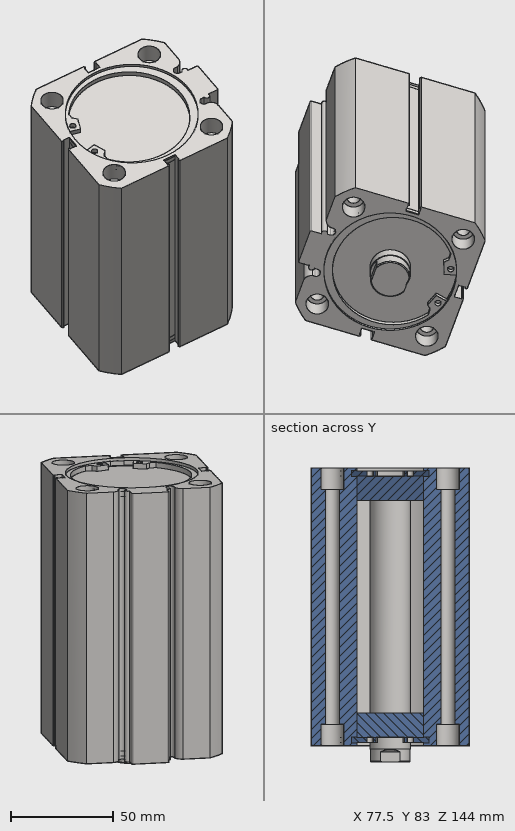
import cadquery as cq
import math


housing_width = 77.5
housing_length = 136.0
corner_radius = 49.5
half_width = housing_width / 2
bore_radius = 32.5

slot_depth = 4.6
slot_width = 6.6
slot_mouth_width = 5.3
slot_lip = 1.0
slot_mouth_chamfer = 0.5

rail_top = 44.25
rail_half_width = 9.3
rail_edge_radius = 0.5
bead_x = 9.9
bead_y = 37.2
bead_radius = 1.5
groove_x = 12.0
groove_y = 34.2
groove_radius = 2.0
groove_mouth_size = 3.3
groove_mouth_bulge = 0.6

hole_pitch = 56.5
hole_diameter = 6.8
counterbore_diameter = 11.0
counterbore_depth = 10.5

ring_setback = 1.5
ring_thickness = 2.6
ring_seat_wall = 0.2
ring_outer_radius = half_width - slot_depth - ring_seat_wall
ring_inner_radius = 29.7
ring_inner_offset = 1.5
ring_gap_half_angle = 13.5
lug_outer_x = 17.6
lug_foot = (14.4, -25.4)
lug_tip = (12.4, -23.4)
lug_inner_radius = 26.5
lug_hole = (9.9, -27.9)
lug_hole_diameter = 3.0

cover_thickness = 12.0

rod_radius = 10.0
rod_neck_radius = 9.75
rod_extension = 8.0
rod_collar_length = 1.5
rod_tip_chamfer = 0.5
flats_width = 17.0
flats_start = 3.0


def make_slot():
    """Sensor slot opening on the -Y side."""
    face_y = -half_width
    floor_y = face_y + slot_depth
    lip_y = face_y + slot_lip
    mouth_x = slot_mouth_width / 2
    return (
        cq.Workplane("XY")
        .moveTo(0, face_y)
        .lineTo(mouth_x + slot_mouth_chamfer, face_y)
        .lineTo(mouth_x, face_y + slot_mouth_chamfer)
        .lineTo(mouth_x, lip_y)
        .lineTo(slot_width / 2, lip_y)
        .lineTo(slot_width / 2, floor_y)
        .lineTo(0, floor_y)
        .mirrorY()
        .extrude(housing_length)
    )


def make_rail_groove():
    """Groove on the +X side of the rail, open through the +Y face."""
    inner_x = groove_x - groove_radius
    outer_x = groove_x + groove_radius
    groove = (
        cq.Workplane("XY")
        .moveTo(rail_half_width, half_width)
        .lineTo(outer_x + groove_mouth_size, half_width)
        .sagittaArc((outer_x, half_width - groove_mouth_size), -groove_mouth_bulge)
        .lineTo(outer_x, groove_y)
        .threePointArc((groove_x, groove_y - groove_radius), (inner_x, groove_y))
        .lineTo(inner_x, bead_y)
        .lineTo(rail_half_width, bead_y)
        .close()
        .extrude(housing_length)
    )
    bead = cq.Workplane("XY").center(bead_x, bead_y).circle(bead_radius).extrude(housing_length)
    return groove.cut(bead)


def make_ring_seat(base_z):
    """Groove in the bore that holds a retaining ring."""
    return cq.Workplane("XY", origin=(0, 0, base_z)).circle(ring_outer_radius).extrude(ring_thickness)


def make_housing():
    """Extruded tube with rail, slots, counterbored mounting holes and ring seats."""
    body = cq.Workplane("XY").rect(housing_width, housing_width).extrude(housing_length)
    body = body.intersect(cq.Workplane("XY").circle(corner_radius).extrude(housing_length))

    rail = cq.Workplane("XY").box(
        2 * rail_half_width, rail_top, housing_length, centered=(True, False, False)
    )
    rail = rail.faces(">Y").edges("|Z").fillet(rail_edge_radius)
    body = body.union(rail)
    rail_groove = make_rail_groove()
    body = body.cut(rail_groove).cut(rail_groove.mirror("YZ"))

    for angle in (-90, 0, 90):
        body = body.cut(make_slot().rotate((0, 0, 0), (0, 0, 1), angle))

    body = (
        body.faces(">Z").workplane(origin=(0, 0, housing_length))
        .rect(hole_pitch, hole_pitch, forConstruction=True).vertices()
        .cboreHole(hole_diameter, counterbore_diameter, counterbore_depth)
        .faces("<Z").workplane(origin=(0, 0, 0))
        .rect(hole_pitch, hole_pitch, forConstruction=True).vertices()
        .cboreHole(hole_diameter, counterbore_diameter, counterbore_depth)
    )
    body = body.cut(cq.Workplane("XY").circle(bore_radius).extrude(housing_length))
    for base_z in (ring_setback, housing_length - ring_setback - ring_thickness):
        body = body.cut(make_ring_seat(base_z))
    return body


def make_ring(base_z):
    """Internal retaining ring with its gap and two lugs towards -Y."""
    angle = math.radians(ring_gap_half_angle)
    lug_corner = (lug_inner_radius * math.sin(angle), -lug_inner_radius * math.cos(angle))
    ring_end = (ring_outer_radius * math.sin(angle), -ring_outer_radius * math.cos(angle))
    lug_outer_y = -ring_inner_offset - math.sqrt(ring_inner_radius**2 - lug_outer_x**2)
    right_side = [(lug_outer_x, lug_outer_y), lug_foot, lug_tip, lug_corner, ring_end]
    left_side = [(-x, y) for x, y in reversed(right_side)]
    ring = (
        cq.Workplane("XY", origin=(0, 0, base_z))
        .polyline(right_side)
        .threePointArc((0, ring_outer_radius), left_side[0])
        .polyline(left_side[1:], includeCurrent=True)
        .threePointArc((0, ring_inner_radius - ring_inner_offset), right_side[0])
        .close()
        .extrude(ring_thickness)
    )
    lug_holes = (
        cq.Workplane("XY", origin=(0, 0, base_z))
        .pushPoints([(side * lug_hole[0], lug_hole[1]) for side in (-1, 1)])
        .circle(lug_hole_diameter / 2)
        .extrude(ring_thickness)
    )
    return ring.cut(lug_holes)


def make_cover(base_z):
    """Plain disc that closes one end of the bore."""
    return cq.Workplane("XY", origin=(0, 0, base_z)).circle(bore_radius).extrude(cover_thickness)


def make_rod(top_z):
    """Piston rod with wrench flats on the -Y and +Y sides of its tip."""
    tip_z = -rod_extension
    rod = (
        cq.Workplane("XZ")
        .moveTo(0, tip_z)
        .lineTo(rod_neck_radius - rod_tip_chamfer, tip_z)
        .lineTo(rod_neck_radius, tip_z + rod_tip_chamfer)
        .lineTo(rod_neck_radius, -rod_collar_length)
        .lineTo(rod_radius, -rod_collar_length)
        .lineTo(rod_radius, top_z)
        .lineTo(0, top_z)
        .close()
        .revolve(360, (0, 0), (0, 1))
    )
    flat_y = flats_width / 2
    flat_cut = (
        cq.Workplane("YZ")
        .moveTo(flat_y, tip_z)
        .lineTo(flat_y, -flats_start)
        .lineTo(rod_radius, -flats_start + rod_radius - flat_y)
        .lineTo(rod_radius, tip_z)
        .close()
        .extrude(rod_radius, both=True)
    )
    return rod.cut(flat_cut).cut(flat_cut.mirror("XZ"))


front_ring_z = ring_setback
rear_ring_z = housing_length - ring_setback - ring_thickness
front_cover_z = front_ring_z + ring_thickness
rear_cover_z = rear_ring_z - cover_thickness

housing = make_housing()
rings = [make_ring(z) for z in (front_ring_z, rear_ring_z)]
rod = make_rod(rear_cover_z)
front_cover = make_cover(front_cover_z).cut(rod)
rear_cover = make_cover(rear_cover_z)

result = cq.Compound.makeCompound([
    housing.val(),
    *[ring.val() for ring in rings],
    front_cover.val(),
    rear_cover.val(),
    rod.val(),
])